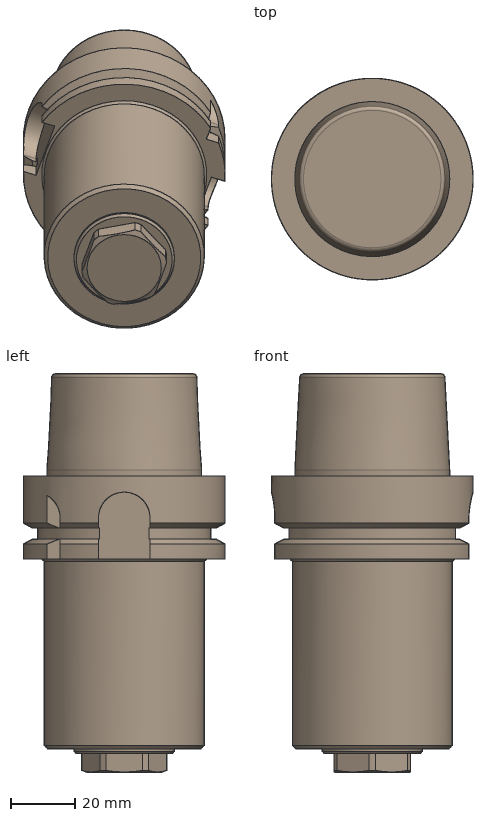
import cadquery as cq
import math

top_z = 124.5
taper_foot_z = 94.4
flange_top_z = 92.6
groove_top_z = 76.3
groove_bottom_z = 72.8
flange_bottom_z = 66.6
body_bottom_z = 7.3
washer_bottom_z = 5.9

shank_top_radius = 22.7
shank_foot_radius = 48.4 / 2
flange_radius = 63.0 / 2
groove_lip_radius = 28.8
groove_radius = 27.1
relief_radius = 25.8
body_radius = 50.0 / 2
washer_radius = 15.7

shank_top_fillet = 1.2
groove_lip_height = 1.5
relief_height = 0.7
body_chamfer = 1.1
washer_chamfer = 0.7

hex_across_flats = 24.0
hex_turned_radius = 13.3
hex_chamfer_height = 0.6
hex_end_radius = 11.6

left_slot_width = 16.0
left_slot_floor = 26.0
right_slot_width = 18.0
right_slot_floor = 26.0
slot_top_z = 87.5
corner_notch_floor = 20.3
corner_notch_edge_y = 20.0


def turned_body():
    """Shank, grooved flange, cylindrical body and washer in one revolution."""
    profile = [
        (0, top_z),
        (shank_top_radius, top_z),
        (shank_foot_radius, taper_foot_z),
        (shank_foot_radius, flange_top_z),
        (flange_radius, flange_top_z),
        (flange_radius, groove_top_z + groove_lip_height),
        (groove_lip_radius, groove_top_z),
        (groove_radius, groove_top_z),
        (groove_radius, groove_bottom_z),
        (groove_lip_radius, groove_bottom_z),
        (flange_radius, groove_bottom_z - groove_lip_height),
        (flange_radius, flange_bottom_z),
        (relief_radius, flange_bottom_z),
        (body_radius, flange_bottom_z - relief_height),
        (body_radius, body_bottom_z + body_chamfer),
        (body_radius - body_chamfer, body_bottom_z),
        (washer_radius, body_bottom_z),
        (washer_radius, washer_bottom_z + washer_chamfer),
        (washer_radius - washer_chamfer, washer_bottom_z),
        (0, washer_bottom_z),
    ]
    turned = cq.Workplane("XZ").polyline(profile).close().revolve(360, (0, 0), (0, 1))
    return turned.faces(">Z").edges().fillet(shank_top_fillet)


def hex_head():
    """Hexagon with flats facing +X and -X, its corners turned and chamfered."""
    across_corners = hex_across_flats / math.cos(math.pi / 6)
    hexagon = (
        cq.Workplane("XY")
        .polygon(6, across_corners)
        .extrude(washer_bottom_z)
        .rotate((0, 0, 0), (0, 0, 1), 30)
    )
    envelope_profile = [
        (0, 0),
        (hex_end_radius, 0),
        (hex_turned_radius, hex_chamfer_height),
        (hex_turned_radius, washer_bottom_z),
        (0, washer_bottom_z),
    ]
    envelope = cq.Workplane("XZ").polyline(envelope_profile).close().revolve(360, (0, 0), (0, 1))
    return hexagon.intersect(envelope)


def slot_cutter(width, center_y, floor, side):
    """Round-topped slot from X = side * floor outward past the flange."""
    radius = width / 2
    return (
        cq.Workplane("YZ", origin=(side * floor, center_y, 0))
        .moveTo(-radius, flange_bottom_z)
        .lineTo(-radius, slot_top_z - radius)
        .threePointArc((0, slot_top_z), (radius, slot_top_z - radius))
        .lineTo(radius, flange_bottom_z)
        .close()
        .extrude(side * flange_radius)
    )


left_slot = slot_cutter(left_slot_width, 0, left_slot_floor, -1)
right_slot = slot_cutter(right_slot_width, 0, right_slot_floor, 1)
corner_notch_center_y = corner_notch_edge_y + left_slot_width / 2
corner_notch = slot_cutter(left_slot_width, corner_notch_center_y, corner_notch_floor, -1)

result = turned_body().union(hex_head())
for cutter in (left_slot, right_slot, corner_notch):
    result = result.cut(cutter)